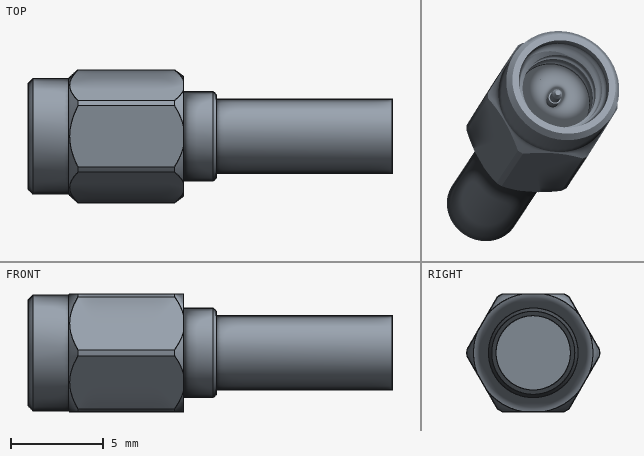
import cadquery as cq
import math

TOTAL_LENGTH = 19.61

SLEEVE_RADIUS = 3.12
SLEEVE_END_RADIUS = 2.85
SLEEVE_LENGTH = 2.18
HEX_FLATS = 6.35
HEX_CORNER_RADIUS = 7.15 / 2
HEX_FRONT_CHAMFER = 0.51
HEX_REAR_CHAMFER = 0.5
HEX_REAR_RADIUS = 3.22
HEX_END = 8.37

MOUTH_RADIUS = 2.5
MOUTH_DEPTH = 0.55
MOUTH_TAPER_LENGTH = 0.47
BORE_RADIUS = 2.02
BORE_DEPTH = 2.82
THREAD_PITCH = 0.7
THREAD_ROOT_RADIUS = 2.45
THREAD_GROOVE_WIDTH = 0.6
THREAD_OVERLAP = 0.04

CORE_RADIUS = 1.4
COLLAR_RADIUS = 2.41
COLLAR_END = 10.14
COLLAR_CHAMFER = 0.18
TUBE_RADIUS = 2.0
PIN_RADIUS = 0.27
PIN_SHOULDER_RADIUS = 0.33
PIN_TIP_RADIUS = 0.14
PIN_TIP_LENGTH = 0.2
PIN_LENGTH = 1.4
PIN_SHOULDER_LENGTH = 0.59


def revolve_profile(points):
    """Revolve a closed (x, radius) outline about the X axis."""
    outline = cq.Workplane("XY").polyline(points).close()
    return outline.revolve(360, (0, 0, 0), (1, 0, 0))


def make_nut_blank():
    """Round sleeve followed by a hexagon with turned corners and chamfered ends."""
    turned = revolve_profile([
        (0, 0),
        (0, SLEEVE_END_RADIUS),
        (SLEEVE_RADIUS - SLEEVE_END_RADIUS, SLEEVE_RADIUS),
        (SLEEVE_LENGTH, SLEEVE_RADIUS),
        (SLEEVE_LENGTH + HEX_FRONT_CHAMFER, HEX_CORNER_RADIUS),
        (HEX_END - HEX_REAR_CHAMFER, HEX_CORNER_RADIUS),
        (HEX_END, HEX_REAR_RADIUS),
        (HEX_END, 0),
    ])
    corner_diameter = HEX_FLATS / math.cos(math.pi / 6)
    hexagon = cq.Workplane("YZ").polygon(6, corner_diameter).extrude(HEX_END)
    return turned.intersect(hexagon)


def make_bore():
    """Blind bore with a plain mouth, a lead-in taper, and a smaller hole through to the rear."""
    return revolve_profile([
        (0, 0),
        (0, MOUTH_RADIUS),
        (MOUTH_DEPTH, MOUTH_RADIUS),
        (MOUTH_DEPTH + MOUTH_TAPER_LENGTH, BORE_RADIUS),
        (BORE_DEPTH, BORE_RADIUS),
        (BORE_DEPTH, CORE_RADIUS),
        (HEX_END, CORE_RADIUS),
        (HEX_END, 0),
    ])


def make_thread_groove():
    """Triangular helical groove that starts in the open mouth and is trimmed at the bore floor."""
    start = -THREAD_PITCH / 2
    length = BORE_DEPTH + THREAD_PITCH - start
    inner_radius = BORE_RADIUS - THREAD_OVERLAP
    helix = cq.Wire.makeHelix(THREAD_PITCH, length, inner_radius)
    groove = (
        cq.Workplane("XZ")
        .polyline([
            (inner_radius, -THREAD_GROOVE_WIDTH / 2),
            (THREAD_ROOT_RADIUS, 0),
            (inner_radius, THREAD_GROOVE_WIDTH / 2),
        ])
        .close()
        .sweep(cq.Workplane(obj=helix), isFrenet=True)
    )
    groove = groove.rotate((0, 0, 0), (0, 1, 0), 90).translate((start, 0, 0))
    threaded_zone = cq.Workplane("YZ").circle(MOUTH_RADIUS).extrude(BORE_DEPTH)
    return groove.intersect(threaded_zone)


def make_nut():
    return make_nut_blank().cut(make_bore()).cut(make_thread_groove())


def make_core():
    """Contact pin, core filling the nut's rear hole, collar and crimp tube."""
    pin_tip = BORE_DEPTH - PIN_LENGTH
    shoulder = BORE_DEPTH - PIN_SHOULDER_LENGTH
    return revolve_profile([
        (pin_tip, 0),
        (pin_tip, PIN_TIP_RADIUS),
        (pin_tip + PIN_TIP_LENGTH, PIN_RADIUS),
        (shoulder, PIN_RADIUS),
        (shoulder, PIN_SHOULDER_RADIUS),
        (BORE_DEPTH, PIN_SHOULDER_RADIUS),
        (BORE_DEPTH, CORE_RADIUS),
        (HEX_END, CORE_RADIUS),
        (HEX_END, COLLAR_RADIUS),
        (COLLAR_END - COLLAR_CHAMFER, COLLAR_RADIUS),
        (COLLAR_END, COLLAR_RADIUS - COLLAR_CHAMFER),
        (COLLAR_END, TUBE_RADIUS),
        (TOTAL_LENGTH, TUBE_RADIUS),
        (TOTAL_LENGTH, 0),
    ])


nut = make_nut()
core = make_core()
result = cq.Compound.makeCompound([nut.solids().val(), core.val()])